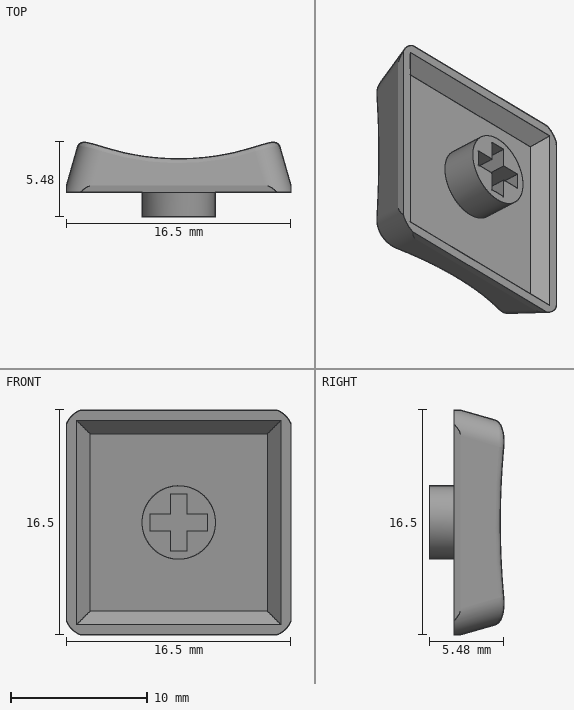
import cadquery as cq
import math


width = 16.5
rim_height = 0.5
wall_lean = 16.0
corner_radius = 1.98
crown_edge_radius = 0.46
blank_height = 4.95

dish_floor = 1.96
dish_radius_x = 17.49
dish_radius_z = 54.45

pocket_opening = 15.0
pocket_floor = 13.0
pocket_depth = 1.0

stem_diameter = 5.4
stem_projection = 1.8
cross_length = 4.19
cross_width = 1.24
cross_depth = stem_projection + pocket_depth


def rim_plane(y=0.0):
    """Workplane parallel to the rim whose normal points to the crown."""
    return cq.Workplane("XZ", origin=(0, y, 0)).transformed(rotate=(180, 0, 0))


def shell_body():
    """Leaning, round-cornered block trimmed to a straight band at the rim."""
    lean = math.radians(wall_lean)
    base_width = width + 2 * rim_height * math.tan(lean)
    block = rim_plane().rect(base_width, base_width).extrude(blank_height, taper=wall_lean)
    block = block.edges("not(#Y or |X or |Z)").fillet(corner_radius)
    return block.intersect(rim_plane().rect(width, width).extrude(blank_height))


def dish():
    """Ring-shaped cutter, curved tightly along X and gently along Z."""
    ring_radius = dish_radius_z - dish_radius_x
    center = cq.Vector(0, dish_floor + dish_radius_z, 0)
    return cq.Workplane(cq.Solid.makeTorus(ring_radius, dish_radius_x, center, cq.Vector(1, 0, 0)))


def pocket():
    """Square pocket narrowing toward its floor."""
    return (
        rim_plane()
        .rect(pocket_opening, pocket_opening)
        .workplane(offset=pocket_depth)
        .rect(pocket_floor, pocket_floor)
        .loft()
    )


def stem():
    return rim_plane(-stem_projection).circle(stem_diameter / 2).extrude(stem_projection + pocket_depth)


def cross_socket():
    end = rim_plane(-stem_projection)
    bar_x = end.rect(cross_length, cross_width).extrude(cross_depth)
    bar_z = end.rect(cross_width, cross_length).extrude(cross_depth)
    return bar_x.union(bar_z)


cap = shell_body().cut(dish())
cap = cap.faces("%TORUS").edges().fillet(crown_edge_radius)
result = cap.cut(pocket()).union(stem()).cut(cross_socket())